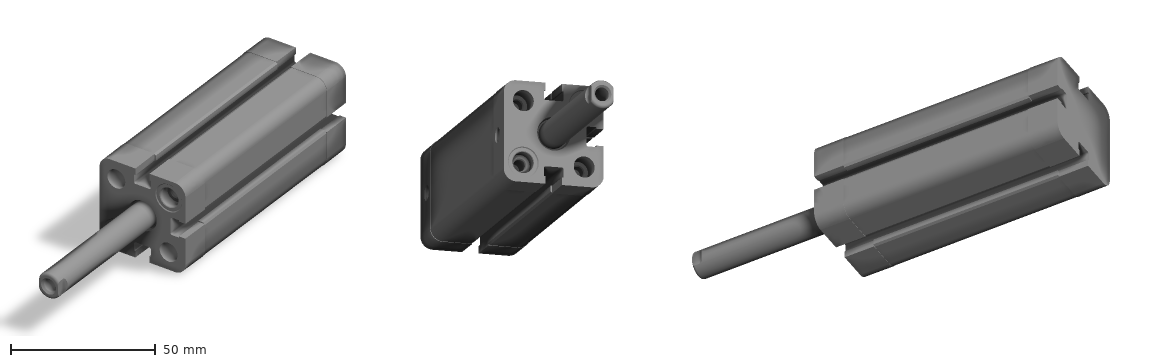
import cadquery as cq
import math

CAP_WIDTH = 36.2
CAP_LENGTH = 11.7
CAP_CORNER = 4.5
CAP_DRAFT = 0.4
TUBE_WIDTH = 36.0
TUBE_CORNER = 4.3
TUBE_LENGTH = 73.5
ROD_STICKOUT = 56.7

SLOT_FLOOR = 11.8
SLOT_LIP = 15.4
SLOT_MIDDLE = (SLOT_FLOOR + SLOT_LIP) / 2
SLOT_WIDTH = 7.0
SLOT_CORNER = 0.6
CAP_MOUTH = 6.0
TUBE_MOUTH = 5.0
TUBE_LIP_BEVEL = 0.9
TUBE_LIP_BEVEL_HEIGHT = 0.5
SLOT_ANGLES = (0, 90, 180)

HOLE_PITCH = 22.0
PLAIN_BORE = 7.5
PLAIN_BORE_DEPTH = 7.7
RING_RECESS = 11.0
RING_RECESS_FLOOR = 10.5
RING_RECESS_DEPTH = 0.3
RING_BORE_MOUTH = 8.0
RING_BORE = 7.5
RING_BORE_DEPTH = 4.6

CORE = 4.1
CORE_MOUTH = 4.9
PORT_MOUTH = 5.5
PORT_FROM_END = 7.4
PORT_DEPTH = 5.0
PORT_PASSAGE = 3.4
PORT_PASSAGE_DEPTH = 6.9

ROD = 10.0
ROD_SEAT = 12.0
ROD_SEAT_TAPER = 0.5
ROD_SEAT_DEPTH = 1.5
ROD_END_ROUND = 1.0
ROD_FLATS = 8.0
ROD_FLAT_LENGTH = 2.9
ROD_FLAT_RUNOUT_RADIUS = 1.5
ROD_HOLE_MOUTH = 6.3
ROD_HOLE = 4.9
ROD_HOLE_DEPTH = 12.0
ROD_COUNTERSINK_DEPTH = 0.8
DRILL_TIP_DEPTH = 1.2

FRONT_Y = 0.0
TUBE_Y = FRONT_Y + CAP_LENGTH
REAR_CAP_Y = TUBE_Y + TUBE_LENGTH
REAR_Y = REAR_CAP_Y + CAP_LENGTH
TIP_Y = FRONT_Y - ROD_STICKOUT


def square_bar(width, corner, start, length, draft=0):
    """Square bar with rounded long edges from y = start to +Y (or -Y for a negative length)."""
    outline = cq.Sketch().rect(width, width).vertices().fillet(corner)
    return cq.Workplane("XZ", origin=(0, start, 0)).placeSketch(outline).extrude(-length, taper=draft)


def turned(points):
    """Solid of revolution about Y from (radius, y) points; the profile closes itself."""
    return cq.Workplane("XY").polyline(points).close().revolve(360, (0, 0, 0), (0, 1, 0))


def cut_sensor_slots(body, mouth_side):
    """Cut a T-slot along the whole length into each slotted side of a body.

    mouth_side holds the (x, z) corners of the +X wall of the mouth, from the channel outwards.
    """
    length = REAR_Y - FRONT_Y
    channel_height = SLOT_LIP - SLOT_FLOOR
    channel = cq.Workplane("XY").box(SLOT_WIDTH, length, channel_height)
    channel = channel.edges("|Y and <Z").fillet(SLOT_CORNER)
    channel = channel.translate((0, FRONT_Y + length / 2, SLOT_FLOOR + channel_height / 2))
    other_side = [(-x, z) for x, z in reversed(mouth_side)]
    mouth = cq.Workplane("XZ", origin=(0, REAR_Y, 0)).polyline(mouth_side + other_side).close()
    mouth = mouth.extrude(length)
    slot = channel.union(mouth)
    for angle in SLOT_ANGLES:
        body = body.cut(slot.rotate((0, 0, 0), (0, 1, 0), angle))
    return body


def core_hole(depth):
    """Small hole with a chamfered mouth, from the origin to +Y."""
    return turned([
        (0, 0),
        (CORE_MOUTH / 2, 0),
        (CORE / 2, (CORE_MOUTH - CORE) / 2),
        (CORE / 2, depth),
        (0, depth),
    ])


def air_port():
    """Chamfered blind port with a narrower passage in its floor, from the origin to +Y."""
    return turned([
        (0, 0),
        (PORT_MOUTH / 2, 0),
        (CORE / 2, (PORT_MOUTH - CORE) / 2),
        (CORE / 2, PORT_DEPTH),
        (PORT_PASSAGE / 2, PORT_DEPTH),
        (PORT_PASSAGE / 2, PORT_PASSAGE_DEPTH),
        (0, PORT_PASSAGE_DEPTH),
    ])


def plain_corner_hole():
    """Straight counterbore with a small hole through its floor, from the origin to +Y."""
    counterbore = turned([
        (0, 0),
        (PLAIN_BORE / 2, 0),
        (PLAIN_BORE / 2, PLAIN_BORE_DEPTH),
        (0, PLAIN_BORE_DEPTH),
    ])
    core = core_hole(CAP_LENGTH - PLAIN_BORE_DEPTH)
    return counterbore.union(core.translate((0, PLAIN_BORE_DEPTH, 0)))


def ring_corner_hole():
    """Shallow wide recess over a chamfered bore and a small hole, from the origin to +Y."""
    bore_chamfer = (RING_BORE_MOUTH - RING_BORE) / 2
    counterbore = turned([
        (0, 0),
        (RING_RECESS / 2, 0),
        (RING_RECESS_FLOOR / 2, RING_RECESS_DEPTH),
        (RING_BORE_MOUTH / 2, RING_RECESS_DEPTH),
        (RING_BORE / 2, RING_RECESS_DEPTH + bore_chamfer),
        (RING_BORE / 2, RING_BORE_DEPTH),
        (0, RING_BORE_DEPTH),
    ])
    core = core_hole(CAP_LENGTH - RING_BORE_DEPTH)
    return counterbore.union(core.translate((0, RING_BORE_DEPTH, 0)))


def plain_cap(joint_y, length, port_y):
    """Square cap, tapering away from its joint with the tube, with slots and a port on its -X side."""
    cap = square_bar(CAP_WIDTH, CAP_CORNER, joint_y, length, CAP_DRAFT)
    half_mouth = CAP_MOUTH / 2
    cap = cut_sensor_slots(cap, [(half_mouth, SLOT_MIDDLE), (half_mouth, CAP_WIDTH / 2)])
    port = air_port().rotate((0, 0, 0), (0, 0, 1), -90)
    return cap.cut(port.translate((-CAP_WIDTH / 2, port_y, 0)))


def build_front_cap():
    cap = plain_cap(TUBE_Y, -CAP_LENGTH, FRONT_Y + PORT_FROM_END)
    offset = HOLE_PITCH / 2
    for side in (-1, 1):
        cap = cap.cut(plain_corner_hole().translate((side * offset, FRONT_Y, -side * offset)))
        cap = cap.cut(ring_corner_hole().translate((side * offset, FRONT_Y, side * offset)))
    rod_passage = turned([
        (0, FRONT_Y),
        (ROD_SEAT / 2, FRONT_Y),
        (ROD_SEAT / 2 - ROD_SEAT_TAPER, FRONT_Y + ROD_SEAT_DEPTH),
        (ROD / 2, FRONT_Y + ROD_SEAT_DEPTH),
        (ROD / 2, TUBE_Y),
        (0, TUBE_Y),
    ])
    return cap.cut(rod_passage)


def build_rear_cap():
    return plain_cap(REAR_CAP_Y, CAP_LENGTH, REAR_Y - PORT_FROM_END)


def build_tube():
    tube = square_bar(TUBE_WIDTH, TUBE_CORNER, TUBE_Y, TUBE_LENGTH)
    half_mouth = TUBE_MOUTH / 2
    top = TUBE_WIDTH / 2
    return cut_sensor_slots(tube, [
        (half_mouth, SLOT_MIDDLE),
        (half_mouth, top - TUBE_LIP_BEVEL_HEIGHT),
        (half_mouth + TUBE_LIP_BEVEL, top),
    ])


def build_rod():
    """Rod from its tip to the front face of the tube, with wrench flats and an end hole."""
    length = TUBE_Y - TIP_Y
    rod = cq.Workplane("XZ", origin=(0, TUBE_Y, 0)).circle(ROD / 2).extrude(length)
    rod = rod.faces("<Y").edges().fillet(ROD_END_ROUND)
    flat_end = TIP_Y + ROD_FLAT_LENGTH
    flat_depth = (ROD - ROD_FLATS) / 2
    runout = math.sqrt(ROD_FLAT_RUNOUT_RADIUS**2 - (ROD_FLAT_RUNOUT_RADIUS - flat_depth) ** 2)
    flat = (
        cq.Workplane("XY", origin=(0, 0, -ROD / 2))
        .moveTo(ROD_FLATS / 2, TIP_Y)
        .lineTo(ROD_FLATS / 2, flat_end)
        .tangentArcPoint((ROD / 2, flat_end + runout), relative=False)
        .lineTo(ROD / 2, TIP_Y)
        .close()
        .extrude(ROD)
    )
    rod = rod.cut(flat).cut(flat.mirror("YZ"))
    end_hole = turned([
        (0, TIP_Y),
        (ROD_HOLE_MOUTH / 2, TIP_Y),
        (ROD_HOLE / 2, TIP_Y + ROD_COUNTERSINK_DEPTH),
        (ROD_HOLE / 2, TIP_Y + ROD_HOLE_DEPTH),
        (0, TIP_Y + ROD_HOLE_DEPTH + DRILL_TIP_DEPTH),
    ])
    return rod.cut(end_hole)


front_cap = build_front_cap()
rear_cap = build_rear_cap()
tube = build_tube()
rod = build_rod()

result = cq.Compound.makeCompound([front_cap.val(), rear_cap.val(), tube.val(), rod.val()])